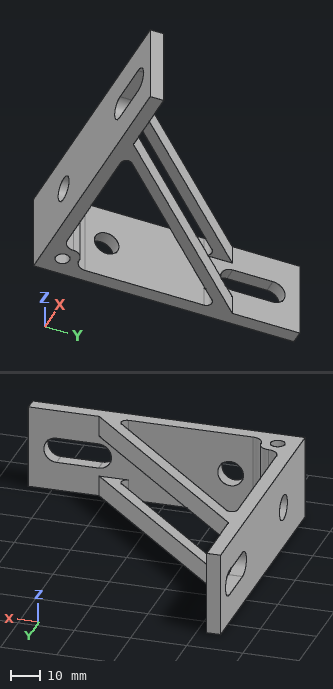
import cadquery as cq
import math

leg_length = 97.0
height = 30.0
wall = 5.0

brace_intercept = 76.8
brace_thickness = 4.0
brace_plate_height = 7.5

acute_corner_radius = 2.0
boss_blend_radius = 4.0

boss_hole_diameter = 5.0
boss_hole_position = 7.5
bolt_diameter = 9.0
bolt_position = 25.0
slot_length = 24.0
slot_position = 79.4

inner_intercept = brace_intercept - brace_thickness * math.sqrt(2)


def make_body():
    """L-shaped legs joined by a full-height diagonal brace."""
    outline = [
        (0, 0),
        (leg_length, 0),
        (leg_length, wall),
        (brace_intercept - wall, wall),
        (wall, brace_intercept - wall),
        (wall, leg_length),
        (0, leg_length),
    ]
    return cq.Workplane("XY").polyline(outline).close().extrude(height)


def make_triangle(intercept, base_z, depth):
    """Right-angled prism between the inner leg faces and a diagonal."""
    tip = intercept - wall
    return (
        cq.Workplane("XY", origin=(0, 0, base_z))
        .polyline([(wall, wall), (tip, wall), (wall, tip)])
        .close()
        .extrude(depth)
    )


def make_corner_boss():
    """Boss in the inner corner, blended into both legs by equal arcs."""
    radius = boss_blend_radius
    near = wall + radius
    edge = wall + 2 * radius
    far = wall + 3 * radius
    diagonal = radius / math.sqrt(2)
    return (
        cq.Workplane("XY")
        .moveTo(0, 0)
        .lineTo(far, 0)
        .lineTo(far, wall)
        .threePointArc((far - diagonal, near - diagonal), (edge, near))
        .threePointArc((near + diagonal, near + diagonal), (near, edge))
        .threePointArc((near - diagonal, far - diagonal), (wall, far))
        .lineTo(0, far)
        .close()
        .extrude(height)
    )


def make_window():
    """Triangular opening with rounded acute corners."""
    window = make_triangle(inner_intercept, 0, height)
    acute_edges = window.edges("|Z and (>X or >Y)")
    return acute_edges.fillet(acute_corner_radius)


def make_leg_openings(plane):
    """Round hole and slot through one leg; local x runs along the leg."""
    middle = height / 2
    hole = plane.center(bolt_position, middle).circle(bolt_diameter / 2).extrude(wall)
    slot = plane.center(slot_position, middle).slot2D(slot_length, bolt_diameter).extrude(wall)
    return hole.union(slot)


brace_gap = make_triangle(brace_intercept, brace_plate_height, height - 2 * brace_plate_height)

result = make_body().cut(make_window()).cut(brace_gap).union(make_corner_boss())

boss_hole = (
    cq.Workplane("XY")
    .center(boss_hole_position, boss_hole_position)
    .circle(boss_hole_diameter / 2)
    .extrude(height)
)
result = result.cut(boss_hole)

leg_planes = [
    cq.Workplane(cq.Plane(origin=(0, wall, 0), xDir=(1, 0, 0), normal=(0, -1, 0))),
    cq.Workplane(cq.Plane(origin=(0, 0, 0), xDir=(0, 1, 0), normal=(1, 0, 0))),
]
for leg_plane in leg_planes:
    result = result.cut(make_leg_openings(leg_plane))